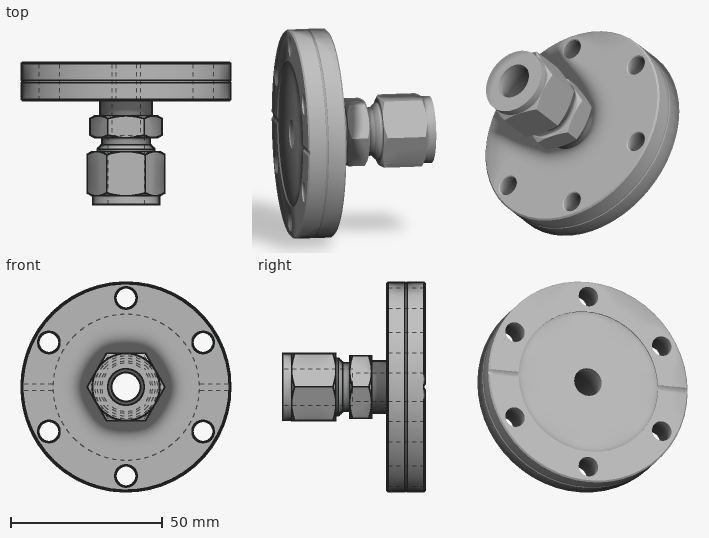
import cadquery as cq
import math


flange_dia = 69.1
flange_thickness = 12.7
rim_chamfer = 0.5
rim_groove_width = 0.8
rim_groove_depth = 0.3
bolt_count = 6
bolt_circle_dia = 58.7
bolt_hole_dia = 6.7
bolt_hole_chamfer = 0.3
seal_recess_dia = 48.26
leak_groove_width = 2.1
leak_groove_depth = 0.5
seal_recess_depth = leak_groove_depth

overall_length = 47.0
stub_dia = 17.27
stub_length = 5.0
body_hex_flats = 20.64
body_hex_length = 7.2
neck_dia = 16.02
neck_length = 2.25
collar_dia = 19.05
collar_length = 0.8
nut_hex_flats = 22.22
nut_hex_length = 14.6
nose_dia = 22.1
hex_chamfer_angle = 30.0

bore_dia = 9.5
tube_dia = 12.0
tube_socket_depth = 22.9

body_hex_start = flange_thickness + stub_length
neck_start = body_hex_start + body_hex_length
cone_start = neck_start + neck_length
cone_length = (collar_dia - neck_dia) / 2
collar_start = cone_start + cone_length
nut_start = collar_start + collar_length


def axis_plane(distance):
    """Plane square to the axis; its normal points along -Y, away from the flange."""
    return cq.Workplane("XZ", origin=(0, -distance, 0))


def revolve_profile(points):
    """Turn a closed (radius, Y) profile about the Y axis."""
    return cq.Workplane("XY").polyline(points).close().revolve(360, (0, 0, 0), (0, 1, 0))


def cylinder(diameter, start, end):
    return axis_plane(start).circle(diameter / 2).extrude(end - start)


def chamfered_hex(flats, start, length):
    """Hexagonal prism with corners along X, its corners turned off conically at both ends."""
    flat_radius = flats / 2
    corner_radius = flat_radius / math.cos(math.pi / 6)
    drop = (corner_radius - flat_radius) * math.tan(math.radians(hex_chamfer_angle))
    end = start + length
    prism = axis_plane(start).polygon(6, 2 * corner_radius).extrude(length)
    turned_blank = revolve_profile([
        (0, -start),
        (flat_radius, -start),
        (corner_radius, -start - drop),
        (corner_radius, -end + drop),
        (flat_radius, -end),
        (0, -end),
    ])
    return prism.intersect(turned_blank)


def make_flange():
    disc = cylinder(flange_dia, 0, flange_thickness).edges().chamfer(rim_chamfer)

    rim_radius = flange_dia / 2
    groove_y = -flange_thickness / 2
    groove_half_width = rim_groove_width / 2
    rim_groove = (
        cq.Workplane("XY")
        .moveTo(rim_radius, groove_y + groove_half_width)
        .threePointArc(
            (rim_radius - rim_groove_depth, groove_y),
            (rim_radius, groove_y - groove_half_width),
        )
        .close()
        .revolve(360, (0, 0, 0), (0, 1, 0))
    )

    bolt_holes = (
        axis_plane(0)
        .polarArray(bolt_circle_dia / 2, 90, 360, bolt_count)
        .circle(bolt_hole_dia / 2)
        .extrude(flange_thickness)
    )
    countersinks = (
        axis_plane(flange_thickness)
        .polarArray(bolt_circle_dia / 2, 90, 360, bolt_count)
        .circle(bolt_hole_dia / 2 + bolt_hole_chamfer)
        .extrude(-2 * bolt_hole_chamfer, taper=45)
    )

    seal_recess = cylinder(seal_recess_dia, 0, seal_recess_depth)
    leak_half_width = leak_groove_width / 2
    leak_groove = (
        cq.Workplane("YZ")
        .moveTo(0, -leak_half_width)
        .threePointArc((-leak_groove_depth, 0), (0, leak_half_width))
        .close()
        .extrude(rim_radius, both=True)
    )

    bore = cylinder(bore_dia, 0, flange_thickness)
    return disc.cut(rim_groove).cut(bolt_holes).cut(countersinks).cut(seal_recess).cut(leak_groove).cut(bore)


def make_fitting():
    core = revolve_profile([
        (0, -flange_thickness),
        (stub_dia / 2, -flange_thickness),
        (stub_dia / 2, -neck_start),
        (neck_dia / 2, -neck_start),
        (neck_dia / 2, -cone_start),
        (collar_dia / 2, -collar_start),
        (collar_dia / 2, -nut_start),
        (nose_dia / 2, -nut_start),
        (nose_dia / 2, -overall_length),
        (0, -overall_length),
    ])
    body_hex = chamfered_hex(body_hex_flats, body_hex_start, body_hex_length)
    nut_hex = chamfered_hex(nut_hex_flats, nut_start, nut_hex_length)

    bore = cylinder(bore_dia, flange_thickness, overall_length)
    tube_socket = cylinder(tube_dia, overall_length - tube_socket_depth, overall_length)
    return core.union(body_hex).union(nut_hex).cut(bore).cut(tube_socket)


flange = make_flange()
fitting = make_fitting()

result = cq.Compound.makeCompound([flange.solids().val(), fitting.solids().val()])